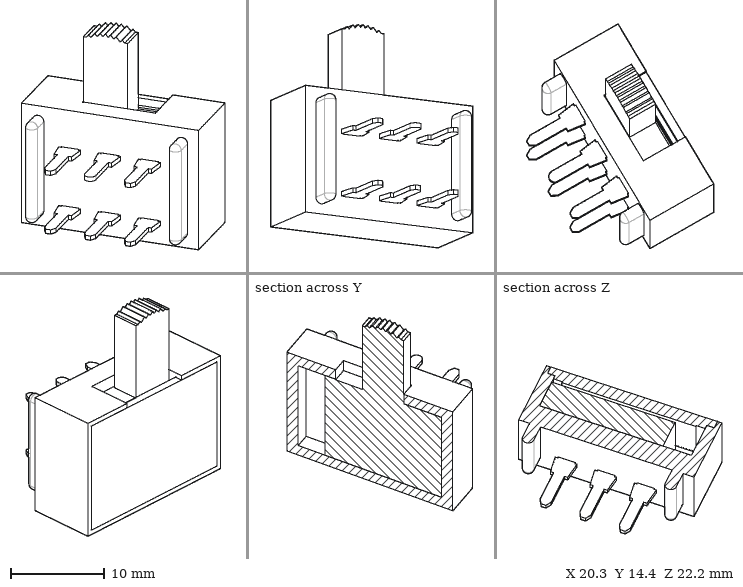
import cadquery as cq


HOUSING_WIDTH = 20.32
HOUSING_DEPTH = 7.92
HOUSING_HEIGHT = 13.95
WALL = 1.41
RIM = 0.55

SLOT_WIDTH = 8.34
SLOT_DEPTH = 5.25
SLOT_FRONT = HOUSING_DEPTH - SLOT_DEPTH

CAVITY_WIDTH = HOUSING_WIDTH - 2 * WALL
CAVITY_HEIGHT = HOUSING_HEIGHT - 2 * WALL

PLATE_THICKNESS = 0.9
FIRST_STEP_REACH = 1.43
SECOND_STEP_REACH = 1.56
SECOND_STEP_INSET = 1.0

SLIDER_BACK = HOUSING_DEPTH - 1.84
STEM_WIDTH = 5.1
STEM_DEPTH = 3.2
STEM_X = (STEM_WIDTH - SLOT_WIDTH) / 2
SLIDER_TOP = 22.2
CARRIAGE_WIDTH = CAVITY_WIDTH - (SLOT_WIDTH - STEM_WIDTH)

RIDGES = [
    (0.30, 0.36),
    (0.59, 0.07),
    (0.96, 0.45),
    (1.22, 0.17),
    (1.69, 0.68),
    (1.92, 0.44),
    (2.20, 0.73),
]
SHOULDER_DROP = RIDGES[-1][1]

RAIL_WIDTH = 1.32
RAIL_HEIGHT = 11.72
RAIL_DEPTH = 2.54
RAIL_X = 8.24
RAIL_RADIUS = RAIL_WIDTH / 2

PIN_PITCH = 4.58
PIN_LOWER_Z = 2.47
PIN_ROW_SPACING = 6.86
PIN_THICKNESS = 0.5
OVERALL_DEPTH = 14.43
PIN_LENGTH = OVERALL_DEPTH - HOUSING_DEPTH
NECK_WIDTH = 2.0
NECK_LENGTH = 0.13
SHOULDER_WIDTH = 2.54
SHOULDER_END = 2.14
BLADE_WIDTH = 1.27
TIP_WIDTH = 0.56
TIP_TAPER = 0.62


def block(width, height, y_front, y_back, x=0, z=HOUSING_HEIGHT / 2):
    """Box of the given width and height centred on (x, z), from y_front to y_back."""
    depth = y_back - y_front
    return cq.Workplane("XY").box(width, depth, height).translate((x, y_front + depth / 2, z))


def make_rail(x):
    """Upright rail with rounded ends and a fully rounded outer edge."""
    straight_height = RAIL_HEIGHT - RAIL_WIDTH
    bottom_z = (HOUSING_HEIGHT - straight_height) / 2
    edge_y = RAIL_RADIUS - RAIL_DEPTH
    rail = (
        cq.Workplane("XZ", origin=(x, 0, HOUSING_HEIGHT / 2))
        .slot2D(RAIL_HEIGHT, RAIL_WIDTH, angle=90)
        .extrude(-edge_y)
    )
    rounded_edge = (
        cq.Workplane("XY", origin=(x, edge_y, bottom_z))
        .circle(RAIL_RADIUS)
        .extrude(straight_height)
    )
    rail = rail.union(rounded_edge)
    for z in (bottom_z, bottom_z + straight_height):
        ball = cq.Workplane("XY").sphere(RAIL_RADIUS).translate((x, edge_y, z))
        rail = rail.union(ball)
    return rail


def make_pin(x, z, rounded_tip):
    """Flat pin with a neck, a tapered shoulder and a blade with a rounded or tapered tip."""
    half_neck = NECK_WIDTH / 2
    half_shoulder = SHOULDER_WIDTH / 2
    half_blade = BLADE_WIDTH / 2
    outline = (
        cq.Workplane("XY", origin=(x, 0, z - PIN_THICKNESS / 2))
        .moveTo(-half_neck, 0)
        .lineTo(-half_neck, -NECK_LENGTH)
        .lineTo(-half_shoulder, -NECK_LENGTH)
        .lineTo(-half_neck, -SHOULDER_END)
        .lineTo(-half_blade, -SHOULDER_END)
    )
    if rounded_tip:
        tip_start = half_blade - PIN_LENGTH
        outline = outline.lineTo(-half_blade, tip_start)
        outline = outline.threePointArc((0, -PIN_LENGTH), (half_blade, tip_start))
    else:
        tip_start = TIP_TAPER - PIN_LENGTH
        outline = outline.lineTo(-half_blade, tip_start)
        outline = outline.lineTo(-TIP_WIDTH / 2, -PIN_LENGTH)
        outline = outline.lineTo(TIP_WIDTH / 2, -PIN_LENGTH)
        outline = outline.lineTo(half_blade, tip_start)
    return (
        outline
        .lineTo(half_blade, -SHOULDER_END)
        .lineTo(half_neck, -SHOULDER_END)
        .lineTo(half_shoulder, -NECK_LENGTH)
        .lineTo(half_neck, -NECK_LENGTH)
        .lineTo(half_neck, 0)
        .close()
        .extrude(PIN_THICKNESS)
    )


def cover_plate():
    """Plate that fills the recess in the back of the housing."""
    plate_front = HOUSING_DEPTH - PLATE_THICKNESS
    return block(HOUSING_WIDTH - 2 * RIM, HOUSING_HEIGHT - 2 * RIM, plate_front, HOUSING_DEPTH)


def make_housing():
    """Housing with its cavity, cover recess, top slot, rails and pins."""
    housing = block(HOUSING_WIDTH, HOUSING_HEIGHT, 0, HOUSING_DEPTH)
    housing = housing.cut(block(CAVITY_WIDTH, CAVITY_HEIGHT, SLOT_FRONT, HOUSING_DEPTH))
    housing = housing.cut(cover_plate())
    slot_z = HOUSING_HEIGHT - WALL / 2
    housing = housing.cut(block(SLOT_WIDTH, WALL, SLOT_FRONT, HOUSING_DEPTH, z=slot_z))
    for x in (-RAIL_X, RAIL_X):
        housing = housing.union(make_rail(x))
    for row in (0, 1):
        for column in (-1, 0, 1):
            rounded_tip = row == 1 and column == 0
            pin = make_pin(column * PIN_PITCH, PIN_LOWER_Z + row * PIN_ROW_SPACING, rounded_tip)
            housing = housing.union(pin)
    return housing


def make_slider():
    """Carriage inside the cavity with a stem that ends in an arched row of ridges."""
    carriage = block(CARRIAGE_WIDTH, CAVITY_HEIGHT, SLOT_FRONT, SLIDER_BACK, STEM_X)
    half_width = STEM_WIDTH / 2
    stem_bottom = HOUSING_HEIGHT - WALL
    shoulder_z = SLIDER_TOP - SHOULDER_DROP
    left_ridges = [(-offset, SLIDER_TOP - drop) for offset, drop in reversed(RIDGES)]
    right_ridges = [(offset, SLIDER_TOP - drop) for offset, drop in RIDGES]
    outline = [(-half_width, stem_bottom), (-half_width, shoulder_z)]
    outline += left_ridges + [(0, SLIDER_TOP)] + right_ridges
    outline += [(half_width, shoulder_z), (half_width, stem_bottom)]
    stem = (
        cq.Workplane("XZ", origin=(STEM_X, SLIDER_BACK, 0))
        .polyline(outline)
        .close()
        .extrude(STEM_DEPTH)
    )
    return carriage.union(stem)


def make_cover():
    """Back cover: the plate and two steps that reach into the cavity."""
    first_front = HOUSING_DEPTH - FIRST_STEP_REACH
    second_front = HOUSING_DEPTH - SECOND_STEP_REACH
    second_width = CAVITY_WIDTH - 2 * SECOND_STEP_INSET
    second_height = CAVITY_HEIGHT - 2 * SECOND_STEP_INSET
    cover = cover_plate()
    cover = cover.union(block(CAVITY_WIDTH, CAVITY_HEIGHT, first_front, HOUSING_DEPTH))
    return cover.union(block(second_width, second_height, second_front, HOUSING_DEPTH))


housing = make_housing()
slider = make_slider()
cover = make_cover()

result = cq.Compound.makeCompound([housing.val(), slider.val(), cover.val()])